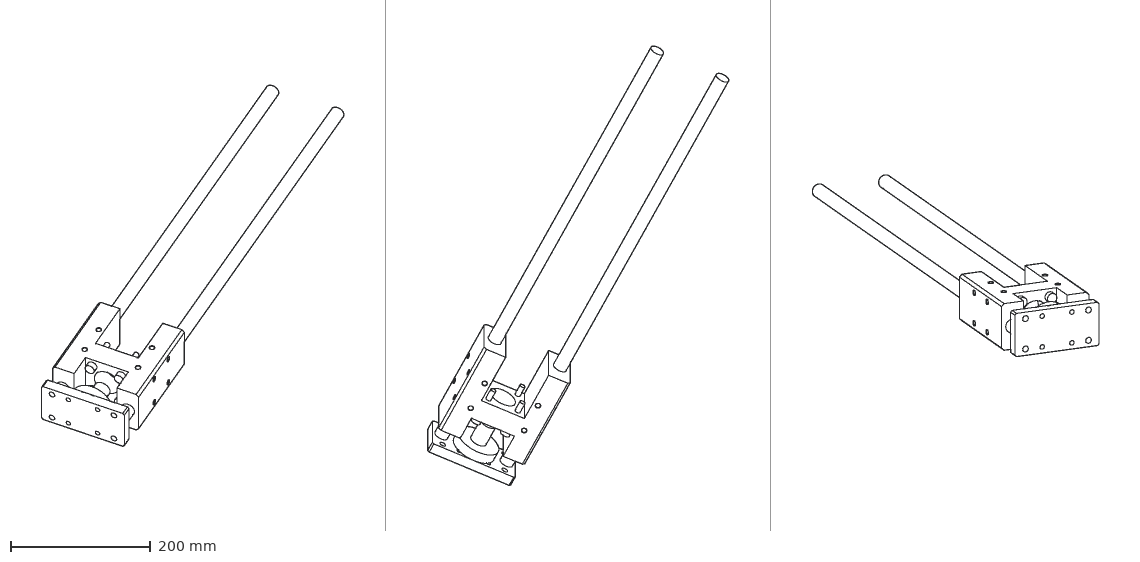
import cadquery as cq


overall_length = 725.0
plate_width = 132.0
plate_height = 65.0
plate_thickness = 15.0
plate_chamfer = 2.55
rod_diameter = 20.0
rod_spacing = 104.0
flange_diameter = 65.0
flange_thickness = 15.0
coupling_diameter = 25.0
coupling_end = 63.0
plate_outer_hole_diameter = 9.0
plate_outer_hole_pitch_x = 98.5
plate_outer_hole_pitch_z = 46.0
plate_inner_hole_diameter = 6.75

housing_width = 137.0
housing_height = 70.0
housing_front = 41.0
housing_length = 149.0
corner_chamfer = 4.0
leg_gap = 68.0
web_front = 78.0
web_thickness = 32.5
web_bore_diameter = 40.0
mount_hole_diameter = 6.75
mount_hole_mouth_diameter = 8.0
mount_hole_depth = 14.5
mount_hole_pitch = 46.0
mount_hole_front = 93.0
top_hole_pitch_x = 85.0

cylinder_pitch = 46.5
screw_diameter = 8.0
screw_end = 127.5
head_diameter = 14.5
head_height = 9.0

housing_rear = housing_front + housing_length
web_rear = web_front + web_thickness
mount_hole_center = mount_hole_front + mount_hole_pitch / 2
rod_positions = [(-rod_spacing / 2, 0), (rod_spacing / 2, 0)]


def grid(pitch_u, pitch_v):
    """Four points at the corners of a centered rectangle."""
    return [(u * pitch_u / 2, v * pitch_v / 2) for u in (-1, 1) for v in (-1, 1)]


def block(width, height, front, rear):
    """Box centered on X = 0 and Z = 0 that spans front to rear along Y."""
    return cq.Workplane("XY").box(width, rear - front, height).translate((0, (front + rear) / 2, 0))


def rounds(diameter, front, rear, positions):
    """Cylinders along Y at the given (x, z) positions."""
    face = cq.Workplane("XZ", origin=(0, front, 0)).pushPoints(positions)
    return face.circle(diameter / 2).extrude(front - rear)


def make_yoke():
    center = [(0, 0)]
    flange_rear = plate_thickness + flange_thickness
    plate = block(plate_width, plate_height, 0, plate_thickness).edges("|Y").chamfer(plate_chamfer)
    outer_holes = grid(plate_outer_hole_pitch_x, plate_outer_hole_pitch_z)
    inner_holes = grid(cylinder_pitch, cylinder_pitch)
    yoke = plate.union(rounds(flange_diameter, plate_thickness, flange_rear, center))
    yoke = yoke.union(rounds(coupling_diameter, flange_rear, coupling_end, center))
    yoke = yoke.cut(rounds(plate_outer_hole_diameter, 0, plate_thickness, outer_holes))
    yoke = yoke.cut(rounds(plate_inner_hole_diameter, 0, plate_thickness, inner_holes))
    return yoke.union(rounds(rod_diameter, plate_thickness, overall_length, rod_positions))


def mount_hole(position, direction):
    """Blind hole with a countersunk mouth, drilled inward from a point on an outer face."""
    countersink_depth = (mount_hole_mouth_diameter - mount_hole_diameter) / 2
    start = cq.Vector(*position)
    inward = cq.Vector(*direction)
    drill = cq.Solid.makeCylinder(mount_hole_diameter / 2, mount_hole_depth, start, inward)
    countersink = cq.Solid.makeCone(
        mount_hole_mouth_diameter / 2, mount_hole_diameter / 2, countersink_depth, start, inward
    )
    return drill.fuse(countersink)


def mount_holes():
    """Holes in the top, bottom and both flanks of the housing."""
    holes = []
    for side in (-1, 1):
        for x, y in grid(top_hole_pitch_x, mount_hole_pitch):
            position = (x, mount_hole_center + y, side * housing_height / 2)
            holes.append(mount_hole(position, (0, 0, -side)))
        for y, z in grid(mount_hole_pitch, mount_hole_pitch):
            position = (side * housing_width / 2, mount_hole_center + y, z)
            holes.append(mount_hole(position, (-side, 0, 0)))
    return holes


def make_housing():
    housing = block(housing_width, housing_height, housing_front, housing_rear)
    housing = housing.edges("|Y").chamfer(corner_chamfer)
    housing = housing.cut(block(leg_gap, housing_height, housing_front, web_front))
    housing = housing.cut(block(leg_gap, housing_height, web_rear, housing_rear))
    housing = housing.cut(rounds(web_bore_diameter, web_front, web_rear, [(0, 0)]))
    housing = housing.cut(rounds(rod_diameter, housing_front, housing_rear, rod_positions))
    for hole in mount_holes():
        housing = housing.cut(hole)
    screws = grid(cylinder_pitch, cylinder_pitch)
    head_front = web_front - head_height
    housing = housing.union(rounds(head_diameter, head_front, web_front, screws))
    return housing.union(rounds(screw_diameter, web_rear, screw_end, screws))


housing = make_housing()
yoke = make_yoke()
result = cq.Compound.makeCompound([housing.val(), yoke.val()])